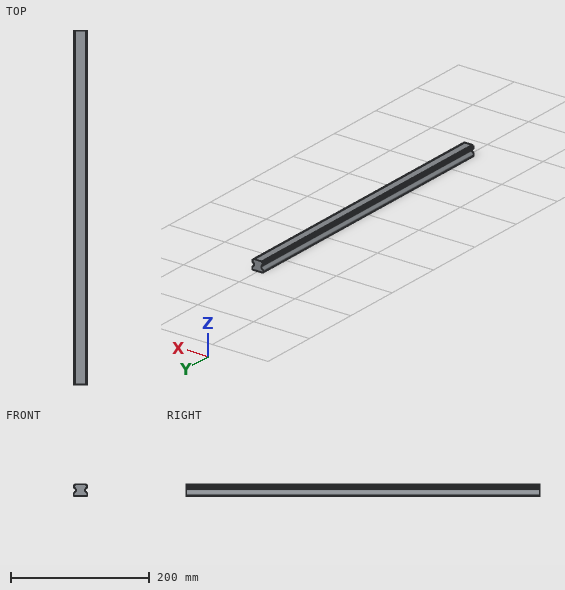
import cadquery as cq

width = 20.0
length = 510.0
height = 17.5
half_width = width / 2

head_bevel = 2.75
head_mid_height = 13.9
groove_margin = 0.6
groove_radius = head_bevel - 2 * groove_margin

waist_half_width = 6.6
foot_side_height = 4.1
waist_fillet = 1.0
foot_fillet = 1.0
foot_chamfer = 1.0

head_side_top = height - head_bevel
head_side_bottom = 2 * head_mid_height - head_side_top
waist_depth = half_width - waist_half_width
waist_top = head_side_bottom - waist_depth
waist_bottom = foot_side_height + waist_depth


def make_bar():
    """Rail cross-section with sharp corners, extruded along Y."""
    right_side = [
        (half_width - foot_chamfer, 0),
        (half_width, foot_chamfer),
        (half_width, foot_side_height),
        (waist_half_width, waist_bottom),
        (waist_half_width, waist_top),
        (half_width, head_side_bottom),
        (half_width, head_side_top),
        (half_width - head_bevel, height),
    ]
    left_side = [(-x, z) for x, z in reversed(right_side)]
    profile = cq.Workplane("XZ").polyline(right_side + left_side).close()
    return profile.extrude(length / 2, both=True)


def round_long_edges(body, x, z, radius):
    """Fillet the pair of lengthwise edges at (-x, z) and (x, z)."""
    for side in (-1, 1):
        edge = cq.selectors.NearestToPointSelector((side * x, 0, z))
        body = body.edges(edge).fillet(radius)
    return body


def cut_ball_grooves(body):
    """Cut the four full-length round grooves, two on each side of the head."""
    center_x = half_width - groove_margin
    center_rise = height - groove_margin - head_mid_height
    centers = [
        (side * center_x, head_mid_height + level * center_rise)
        for side in (-1, 1)
        for level in (-1, 1)
    ]
    grooves = (
        cq.Workplane("XZ")
        .pushPoints(centers)
        .circle(groove_radius)
        .extrude(length / 2, both=True)
    )
    return body.cut(grooves)


rail = make_bar()
rail = round_long_edges(rail, waist_half_width, waist_bottom, waist_fillet)
rail = round_long_edges(rail, half_width, foot_side_height, foot_fillet)
result = cut_ball_grooves(rail)